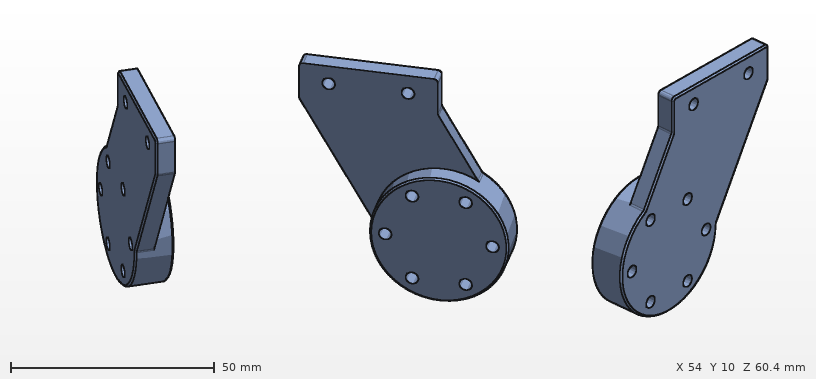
import cadquery as cq
import math

disc_radius = 17.5
disc_thickness = 10.0
plate_thickness = 4.95
plate_top = 42.9
plate_right = 36.5
plate_width = 2 * disc_radius
plate_left = plate_right - plate_width
lean = math.radians(30)
corner_radius = 1.0
edge_chamfer = 0.5

hole_diameter = 3.2
disc_hole_count = 6
disc_hole_circle_radius = 13.55
top_hole_spacing = 20.0
top_hole_drop = 5.0

bend_height = (plate_right - disc_radius) / math.tan(lean)

side_offset = plate_left * math.cos(lean) - bend_height * math.sin(lean)
side_reach = math.sqrt(disc_radius**2 - side_offset**2)
left_joint = (
    side_offset * math.cos(lean) + side_reach * math.sin(lean),
    -side_offset * math.sin(lean) + side_reach * math.cos(lean),
)


def make_plate():
    """Front plate: round base with a leaning arm and an upright head."""
    return (
        cq.Workplane("XZ")
        .moveTo(disc_radius, 0)
        .lineTo(plate_right, bend_height)
        .lineTo(plate_right, plate_top)
        .lineTo(plate_left, plate_top)
        .lineTo(plate_left, bend_height)
        .lineTo(*left_joint)
        .threePointArc((0, -disc_radius), (disc_radius, 0))
        .close()
        .extrude(-plate_thickness)
        .edges("|Y")
        .fillet(corner_radius)
        .faces("<Y")
        .chamfer(edge_chamfer)
    )


def make_rear_disc():
    """Disc that thickens the round base behind the plate."""
    return (
        cq.Workplane("XZ", origin=(0, plate_thickness, 0))
        .circle(disc_radius)
        .extrude(plate_thickness - disc_thickness)
        .faces(">Y")
        .chamfer(edge_chamfer)
    )


def make_holes():
    """Through holes: a ring in the disc and a pair in the head."""
    ring = (
        cq.Workplane("XZ")
        .polarArray(disc_hole_circle_radius, 0, 360, disc_hole_count)
        .circle(hole_diameter / 2)
        .extrude(-disc_thickness)
    )
    head_center = (plate_left + plate_right) / 2
    pair = (
        cq.Workplane("XZ")
        .center(head_center, plate_top - top_hole_drop)
        .rarray(top_hole_spacing, 0.6, 2, 1)
        .circle(hole_diameter / 2)
        .extrude(-plate_thickness)
    )
    return ring.union(pair)


result = make_plate().union(make_rear_disc()).cut(make_holes())